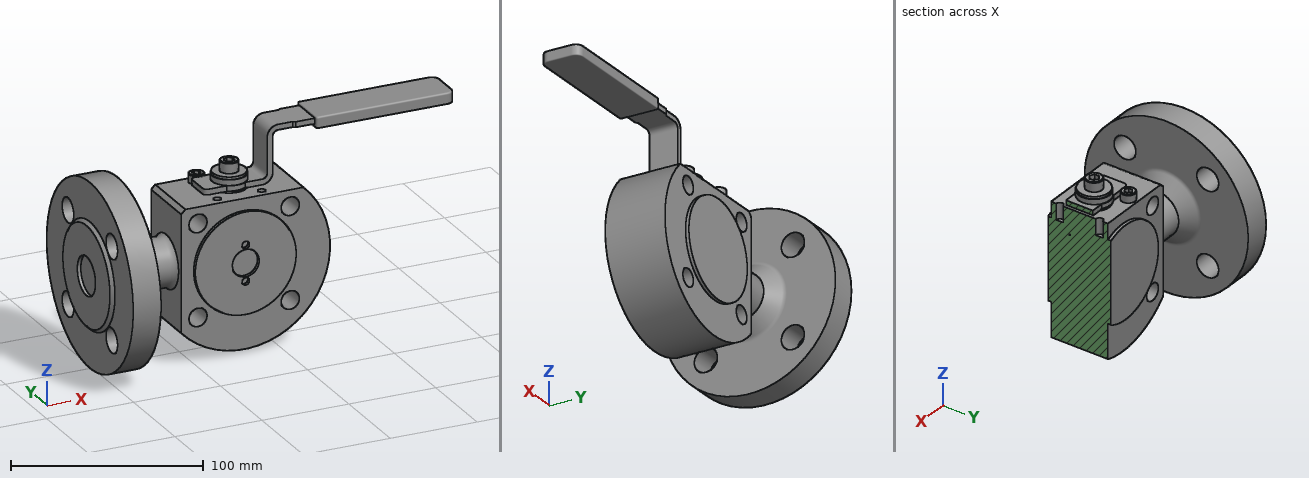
import cadquery as cq
import math


flange_diameter = 105.0
flange_back_x = -64.0
flange_thickness = 16.0
flange_front_x = flange_back_x - flange_thickness
face_height = 2.0
face_base_diameter = 60.6
face_tip_diameter = 57.0
neck_radius = 13.6
cone_tip_x = -56.1
cone_fillet = 3.0
port_diameter = 22.0
port_recess_depth = 2.0
flange_hole_diameter = 14.0
bolt_circle_diameter = 75.0
bolt_offset = bolt_circle_diameter / 2 * math.sin(math.pi / 4)

body_radius = 49.5
body_left_x = -36.2
body_top_z = 35.8
body_width = 36.5
body_corner_chamfer = 2.4
neck_root_fillet_start_x = -39.8
neck_root_fillet = 5.0
side_pad_diameter = 58.0
side_pad_height = 2.0
side_pad_face_y = body_width / 2 + side_pad_height
body_hole_diameter = 10.4

pad_recess_diameter = 15.4
pad_recess_depth = 2.0
pin_hole_diameter = 4.2
pin_hole_offset = 10.25
pin_hole_depth = 2.0

mount_offset = 12.73
mount_hole_diameter = 4.2
mount_hole_depth = 10.0

boss_diameter = 19.0
collar_diameter = 19.6
collar_top_z = 43.4
washer_diameter = 18.7
washer_top_z = 44.8
stem_screw_diameter = 10.0
stem_screw_height = 6.0
stem_screw_hex = 5.0
stop_screw_diameter = 8.5
stop_screw_height = 5.0
stop_screw_hex = 4.0
screw_edge_chamfer = 0.4
drill_point_half_angle = math.radians(59.0)

lever_thickness = 3.2
lever_bottom_z = 37.0
lever_left_x = -18.2
lever_riser_x = 17.9
lever_upper_z = 66.3
lever_bend_inner = 3.0
lever_bend_outer = lever_bend_inner + lever_thickness
lever_narrow_width = 17.2
lever_wide_width = 19.0
lever_step_x = 32.4
lever_step_length = 1.3
lever_corner_radius = 2.5
lever_eye_diameter = 20.2

grip_left_x = 44.8
grip_right_x = 124.52
grip_width = 23.5
grip_bottom_z = 64.3
grip_top_z = 70.81
grip_end_radius = 4.5
grip_start_radius = 1.2
grip_top_fillet = 1.0
grip_bottom_fillet = 0.6
lever_end_gap = 10.0
lever_right_x = grip_right_x - lever_end_gap


def x_cylinder(diameter, start_x, length):
    return cq.Workplane("YZ", origin=(start_x, 0, 0)).circle(diameter / 2).extrude(length)


def y_cylinder(diameter, start_y, length, x=0.0, z=0.0):
    """Cylinder running from start_y toward +Y."""
    plane = cq.Workplane("XZ", origin=(x, start_y, z))
    return plane.circle(diameter / 2).extrude(-length)


def z_cylinder(diameter, bottom_z, top_z, x=0.0, y=0.0):
    plane = cq.Workplane("XY", origin=(x, y, bottom_z))
    return plane.circle(diameter / 2).extrude(top_z - bottom_z)


def square_pattern(offset):
    return [(sx * offset, sy * offset) for sx in (-1, 1) for sy in (-1, 1)]


def make_flange_and_neck():
    fillet_run = cone_fillet * (1 - math.cos(math.pi / 4))
    fillet_rise = cone_fillet * math.sin(math.pi / 4)
    cone_end_x = flange_back_x + fillet_run
    cone_end_radius = neck_radius + cone_tip_x - cone_end_x
    root_length = body_left_x - neck_root_fillet_start_x
    root_rise = neck_root_fillet - math.sqrt(neck_root_fillet**2 - root_length**2)
    profile = (
        cq.Workplane("XY")
        .moveTo(flange_front_x - face_height, 0)
        .lineTo(flange_front_x - face_height, face_tip_diameter / 2)
        .lineTo(flange_front_x, face_base_diameter / 2)
        .lineTo(flange_front_x, flange_diameter / 2)
        .lineTo(flange_back_x, flange_diameter / 2)
        .lineTo(flange_back_x, cone_end_radius + fillet_rise)
        .radiusArc((cone_end_x, cone_end_radius), -cone_fillet)
        .lineTo(cone_tip_x, neck_radius)
        .lineTo(neck_root_fillet_start_x, neck_radius)
        .radiusArc((body_left_x, neck_radius + root_rise), -neck_root_fillet)
        .lineTo(0, neck_radius + root_rise)
        .lineTo(0, 0)
        .close()
    )
    turned = profile.revolve(360, (0, 0, 0), (1, 0, 0))
    front = cq.Workplane("YZ", origin=(flange_front_x, 0, 0))
    bolt_holes = (
        front.pushPoints(square_pattern(bolt_offset))
        .circle(flange_hole_diameter / 2)
        .extrude(flange_thickness)
    )
    port = x_cylinder(port_diameter, flange_front_x - face_height, port_recess_depth)
    return turned.cut(bolt_holes).cut(port)


def make_body():
    disc = y_cylinder(2 * body_radius, -body_width / 2, body_width)
    block_length = body_radius - body_left_x
    block_height = body_top_z + body_radius
    block = (
        cq.Workplane("XY")
        .box(block_length, body_width, block_height, centered=(False, True, False))
        .translate((body_left_x, 0, -body_radius))
    )
    corner = (
        cq.Workplane("XY")
        .box(-body_left_x, body_width, body_top_z, centered=(False, True, False))
        .translate((body_left_x, 0, 0))
    )
    body = disc.intersect(block).union(corner)
    body = body.edges("|Y and <X and >Z").chamfer(body_corner_chamfer)
    return body.union(y_cylinder(side_pad_diameter, -side_pad_face_y, 2 * side_pad_face_y))


def cut_body_details(part):
    for x, z in square_pattern(bolt_offset):
        part = part.cut(y_cylinder(body_hole_diameter, -side_pad_face_y, 2 * side_pad_face_y, x, z))
    part = part.cut(y_cylinder(pad_recess_diameter, -side_pad_face_y, pad_recess_depth))
    for z in (-pin_hole_offset, pin_hole_offset):
        part = part.cut(y_cylinder(pin_hole_diameter, -side_pad_face_y, pin_hole_depth, 0, z))
    for x, y in square_pattern(mount_offset):
        part = part.cut(z_cylinder(mount_hole_diameter, body_top_z - mount_hole_depth, body_top_z, x, y))
    return part


def make_cap_screw(diameter, height, hex_size):
    """Socket screw head standing on Z = 0 with hexagon corners along Y."""
    head = z_cylinder(diameter, 0, height).faces(">Z").edges().chamfer(screw_edge_chamfer)
    socket_floor = height / 2
    socket = (
        cq.Workplane("XY", origin=(0, 0, socket_floor))
        .transformed(rotate=(0, 0, 90))
        .polygon(6, hex_size / math.cos(math.pi / 6))
        .extrude(height)
    )
    point_depth = hex_size / 2 / math.tan(drill_point_half_angle)
    point = cq.Workplane(
        cq.Solid.makeCone(0, hex_size / 2, point_depth, cq.Vector(0, 0, socket_floor - point_depth))
    )
    return head.cut(socket).cut(point)


def make_stem():
    stem = z_cylinder(boss_diameter, body_top_z, collar_top_z)
    stem = stem.union(z_cylinder(collar_diameter, lever_bottom_z + lever_thickness, collar_top_z))
    stem = stem.union(z_cylinder(washer_diameter, collar_top_z, washer_top_z))
    screw = make_cap_screw(stem_screw_diameter, stem_screw_height, stem_screw_hex)
    return stem.union(screw.translate((0, 0, washer_top_z)))


def make_stop_screw():
    head = make_cap_screw(stop_screw_diameter, stop_screw_height, stop_screw_hex)
    shank = z_cylinder(mount_hole_diameter, -mount_hole_depth, 0)
    return head.union(shank).translate((-mount_offset, mount_offset, body_top_z))


def make_lever():
    lower_top_z = lever_bottom_z + lever_thickness
    upper_top_z = lever_upper_z + lever_thickness
    riser_right_x = lever_riser_x + lever_thickness
    inner = lever_bend_inner
    outer = lever_bend_outer
    strip = (
        cq.Workplane("XZ")
        .moveTo(lever_left_x, lever_bottom_z)
        .lineTo(riser_right_x - outer, lever_bottom_z)
        .radiusArc((riser_right_x, lever_bottom_z + outer), -outer)
        .lineTo(riser_right_x, lever_upper_z - inner)
        .radiusArc((riser_right_x + inner, lever_upper_z), inner)
        .lineTo(lever_right_x, lever_upper_z)
        .lineTo(lever_right_x, upper_top_z)
        .lineTo(lever_riser_x + outer, upper_top_z)
        .radiusArc((lever_riser_x, upper_top_z - outer), -outer)
        .lineTo(lever_riser_x, lower_top_z + inner)
        .radiusArc((lever_riser_x - inner, lower_top_z), inner)
        .lineTo(lever_left_x, lower_top_z)
        .close()
        .extrude(lever_wide_width / 2, both=True)
    )
    step_end_x = lever_step_x + lever_step_length
    half_plan = [
        (lever_left_x, lever_narrow_width / 2),
        (lever_step_x, lever_narrow_width / 2),
        (step_end_x, lever_wide_width / 2),
        (lever_right_x, lever_wide_width / 2),
    ]
    mirrored_half = [(x, -y) for x, y in reversed(half_plan)]
    plan = (
        cq.Workplane("XY", origin=(0, 0, lever_bottom_z))
        .polyline(half_plan + mirrored_half)
        .close()
        .extrude(upper_top_z - lever_bottom_z)
        .edges("|Z and <X")
        .fillet(lever_corner_radius)
    )
    eye = z_cylinder(lever_eye_diameter, lever_bottom_z, lower_top_z)
    return strip.intersect(plan).union(eye)


def make_grip():
    length = grip_right_x - grip_left_x
    height = grip_top_z - grip_bottom_z
    grip = (
        cq.Workplane("XY")
        .box(length, grip_width, height, centered=(False, True, False))
        .translate((grip_left_x, 0, grip_bottom_z))
    )
    grip = grip.edges("|Z and >X").fillet(grip_end_radius)
    grip = grip.edges("|Z and <X").fillet(grip_start_radius)
    grip = grip.faces(">Z").edges().fillet(grip_top_fillet)
    return grip.faces("<Z").edges().fillet(grip_bottom_fillet)


result = cut_body_details(make_body().union(make_flange_and_neck()))
for component in (make_stem(), make_stop_screw(), make_lever(), make_grip()):
    result = result.union(component)